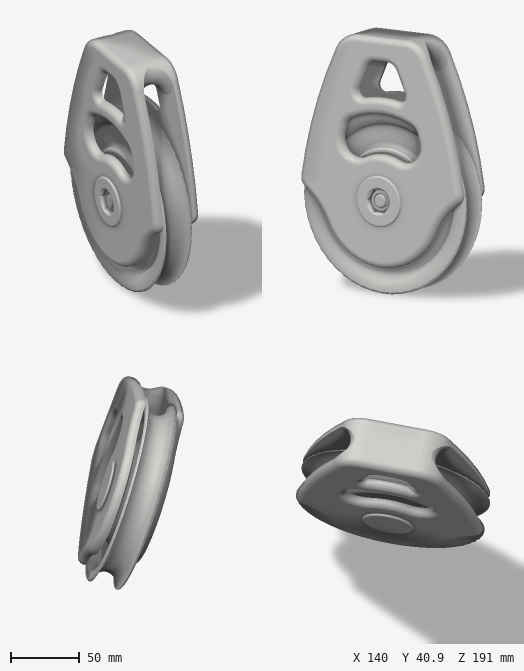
import cadquery as cq
import math


frame_thickness = 37.75
slot_width = 24.7
edge_radius = 5.0
frame_top = 121.0
top_half_width = 33.6
side_mid_point = (57.3, 64.0)
shoulder_point = (69.8, 6.6)
top_corner_radius = 20.0
shoulder_radius = 8.0
bottom_radius = 50.0
hollow_radius = 55.0
hollow_angle = math.radians(-23.6)

guide_bend_center = (22.0, 112.3)
guide_bend_radius = 9.8
guide_groove_radius = 12.6

eye_top = 102.8
eye_top_half_width = 10.9
eye_side_slope = 0.436
eye_bottom_radius = 76.0
eye_top_corner_radius = 9.0
eye_bottom_corner_radius = 5.0

kidney_outer_radius = 64.0
kidney_inner_radius = 34.0
kidney_corner_radius = 10.0
kidney_lobe_radius = 13.4
kidney_lobe_angle = math.radians(65.0)
kidney_side_angle = math.radians(16.6)

overall_width = 40.9
axle_diameter = 32.0
head_diameter = 38.0
head_edge_radius = 1.6
socket_flats = 16.9
socket_mouth_diameter = 20.7
socket_depth = 6.0
collar_diameter = 16.0
collar_edge_radius = 1.2
collar_depth = 3.0
nut_bore_diameter = 11.2
nut_bore_depth = 4.0
bolt_diameter = 10.0
bolt_chamfer = 1.0
bolt_depth = 2.0

sheave_radius = 70.0
sheave_width = 23.6
rope_groove_radius = 10.2
rim_edge_radius = 1.6
rim_face_inner_radius = 67.5
dish_inner_radius = 54.5
web_outer_radius = 53.0
dish_floor_width = 9.4
web_width = 8.6
hub_radius = 38.0
hub_fillet = 3.9
hub_chamfer = 1.2
hub_recess_radius = 35.3
hub_recess_depth = 1.5


def polar(radius, angle, center=(0.0, 0.0)):
    """Point at a radius and angle from a center."""
    return (center[0] + radius * math.cos(angle), center[1] + radius * math.sin(angle))


def mirrored(point):
    """The same point on the other side of the centre plane."""
    return (-point[0], point[1])


def cylinder(diameter, y_start, y_end):
    """Cylinder on the axle axis between two Y positions."""
    return (
        cq.Workplane("XZ", origin=(0, y_start, 0))
        .circle(diameter / 2)
        .extrude(y_start - y_end)
    )


def frame_block():
    """Full frame block with its outer corners rounded in outline, before the slot and windows."""
    top = (top_half_width, frame_top)
    hollow_center = polar(bottom_radius + hollow_radius, hollow_angle)
    hollow_end = polar(bottom_radius, hollow_angle)
    shoulder_direction = math.atan2(
        shoulder_point[1] - hollow_center[1], shoulder_point[0] - hollow_center[0]
    )
    hollow_start = polar(hollow_radius, shoulder_direction, hollow_center)
    hollow_mid_angle = (shoulder_direction + hollow_angle + math.pi) / 2
    hollow_mid = polar(hollow_radius, hollow_mid_angle, hollow_center)
    block = (
        cq.Workplane("XZ")
        .moveTo(*mirrored(top))
        .lineTo(*top)
        .threePointArc(side_mid_point, hollow_start)
        .threePointArc(hollow_mid, hollow_end)
        .threePointArc((0, -bottom_radius), mirrored(hollow_end))
        .threePointArc(mirrored(hollow_mid), mirrored(hollow_start))
        .threePointArc(mirrored(side_mid_point), mirrored(top))
        .close()
        .extrude(frame_thickness / 2, both=True)
    )
    block = block.edges("|Y").edges(">Z").fillet(top_corner_radius)
    block = block.edges("|Y").edges(">X or <X").fillet(shoulder_radius)
    return block


def eye_window():
    """Cutter for the eye, with flat top, sloping sides and a curved bottom."""
    slope = eye_side_slope
    side_at_axle = eye_top_half_width + slope * eye_top
    a = 1 + slope**2
    b = -2 * slope * side_at_axle
    c = side_at_axle**2 - eye_bottom_radius**2
    corner_z = (-b + math.sqrt(b**2 - 4 * a * c)) / (2 * a)
    corner = (side_at_axle - slope * corner_z, corner_z)
    top = (eye_top_half_width, eye_top)
    window = (
        cq.Workplane("XZ")
        .moveTo(*mirrored(top))
        .lineTo(*top)
        .lineTo(*corner)
        .threePointArc((0, eye_bottom_radius), mirrored(corner))
        .close()
        .extrude(frame_thickness, both=True)
    )
    window = window.edges("|Y").edges(">Z").fillet(eye_top_corner_radius)
    return window.edges("|Y").edges("<Z").fillet(eye_bottom_corner_radius)


def kidney_window():
    """Cutter for the kidney window, curved about the axle, with tangent corners and lobes."""
    side = kidney_side_angle
    lobe_center = polar(kidney_inner_radius + kidney_lobe_radius, kidney_lobe_angle)
    side_distance = (
        lobe_center[0] * math.cos(side) + lobe_center[1] * math.sin(side) + kidney_lobe_radius
    )
    corner_center_radius = kidney_outer_radius - kidney_corner_radius
    corner_angle = side + math.acos((side_distance - kidney_corner_radius) / corner_center_radius)
    corner_center = polar(corner_center_radius, corner_angle)
    outer_end = polar(kidney_outer_radius, corner_angle)
    corner_mid = polar(kidney_corner_radius, (corner_angle + side) / 2, corner_center)
    corner_end = polar(kidney_corner_radius, side, corner_center)
    lobe_start = polar(kidney_lobe_radius, side, lobe_center)
    lobe_mid_angle = (side + kidney_lobe_angle - math.pi) / 2
    lobe_mid = polar(kidney_lobe_radius, lobe_mid_angle, lobe_center)
    lobe_end = polar(kidney_inner_radius, kidney_lobe_angle)
    return (
        cq.Workplane("XZ")
        .moveTo(*mirrored(outer_end))
        .threePointArc((0, kidney_outer_radius), outer_end)
        .threePointArc(corner_mid, corner_end)
        .lineTo(*lobe_start)
        .threePointArc(lobe_mid, lobe_end)
        .threePointArc((0, kidney_inner_radius), mirrored(lobe_end))
        .threePointArc(mirrored(lobe_mid), mirrored(lobe_start))
        .lineTo(*mirrored(corner_end))
        .threePointArc(mirrored(corner_mid), mirrored(outer_end))
        .close()
        .extrude(frame_thickness, both=True)
    )


def rope_guide():
    """Web left standing in the slot: two grooved bends joined by a straight arched bar."""
    half = slot_width / 2
    center_x, center_z = guide_bend_center
    groove_rise = guide_groove_radius - math.sqrt(guide_groove_radius**2 - half**2)
    rim = guide_bend_radius + groove_rise
    guide_top = frame_top + rim
    guide = (
        cq.Workplane("YZ", origin=(-center_x, 0, 0))
        .moveTo(-half, guide_top)
        .lineTo(-half, center_z - rim)
        .threePointArc((0, center_z - guide_bend_radius), (half, center_z - rim))
        .lineTo(half, guide_top)
        .close()
        .extrude(2 * center_x)
    )
    for side in (-1, 1):
        bend = (
            cq.Workplane("XY", origin=(side * center_x, 0, center_z))
            .moveTo(0, -half)
            .lineTo(rim, -half)
            .threePointArc((guide_bend_radius, 0), (rim, half))
            .lineTo(0, half)
            .close()
            .revolve(360, (0, 0, 0), (0, 1, 0))
        )
        guide = guide.union(bend)
    return guide


def sheave_slot():
    """Cutter for the space between the cheeks, ending at the rope guide."""
    slab_size = 3 * frame_top
    return cq.Workplane("XY").box(slab_size, slot_width, slab_size).cut(rope_guide())


def axle():
    """Axle with a flat round head outside each cheek."""
    half = overall_width / 2
    shaft = cylinder(axle_diameter, -half, half)
    for side in (-1, 1):
        head = cylinder(head_diameter, side * half, side * slot_width / 2)
        head = head.edges(">Y" if side > 0 else "<Y").fillet(head_edge_radius)
        shaft = shaft.union(head)
    return shaft


def nut_socket():
    """Hexagonal socket in the front head, flared to a round mouth."""
    face = -overall_width / 2
    corner_diameter = socket_flats / math.cos(math.pi / 6)
    flare_depth = (socket_mouth_diameter - socket_flats) / 2
    socket = cq.Workplane("XZ", origin=(0, face, 0)).polygon(6, corner_diameter).extrude(-socket_depth)
    flare = cq.Workplane(
        cq.Solid.makeCone(
            socket_mouth_diameter / 2,
            socket_flats / 2,
            flare_depth,
            cq.Vector(0, face, 0),
            cq.Vector(0, 1, 0),
        )
    )
    return socket.union(flare)


def nut_and_bolt_end():
    """Rounded nut collar around the chamfered bolt end, standing in the socket."""
    face = -overall_width / 2
    floor = face + socket_depth
    collar_face = face + collar_depth
    collar = cylinder(collar_diameter, collar_face, floor).edges("<Y").fillet(collar_edge_radius)
    collar = collar.cut(cylinder(nut_bore_diameter, collar_face, collar_face + nut_bore_depth))
    bolt = cylinder(bolt_diameter, face + bolt_depth, floor).edges("<Y").chamfer(bolt_chamfer)
    return collar.union(bolt)


def make_frame():
    """Cheeks, web, axle and fastener as one solid."""
    body = frame_block().cut(eye_window()).cut(kidney_window())
    body = body.faces("<Y or >Y").edges().fillet(edge_radius)
    body = body.cut(sheave_slot())
    return body.union(axle()).cut(nut_socket()).union(nut_and_bolt_end())


def make_sheave():
    """Grooved sheave with dished sides and a raised hub, turned about the axle."""
    half = sheave_width / 2
    web = web_width / 2
    dish_floor = dish_floor_width / 2
    hub_face = web + hub_fillet + hub_chamfer
    hub_face_radius = hub_radius - hub_chamfer
    dish_drop = half - dish_floor
    dish_span = rim_face_inner_radius - dish_inner_radius
    dish_radius = (dish_drop**2 + dish_span**2) / (2 * dish_drop)
    dish_center = (rim_face_inner_radius, half - dish_radius)
    dish_mid = polar(dish_radius, math.pi / 2 + math.asin(dish_span / dish_radius) / 2, dish_center)
    tip_center = (sheave_radius - rim_edge_radius, half - rim_edge_radius)
    tip_mid = polar(rim_edge_radius, math.pi / 4, tip_center)
    fillet_center = (hub_radius + hub_fillet, web + hub_fillet)
    fillet_mid = polar(hub_fillet, math.radians(225), fillet_center)
    disc = (
        cq.Workplane("XY")
        .moveTo(sheave_radius, 0)
        .lineTo(sheave_radius, tip_center[1])
        .threePointArc(tip_mid, (tip_center[0], half))
        .lineTo(rim_face_inner_radius, half)
        .threePointArc(dish_mid, (dish_inner_radius, dish_floor))
        .lineTo(web_outer_radius, web)
        .lineTo(fillet_center[0], web)
        .threePointArc(fillet_mid, (hub_radius, fillet_center[1]))
        .lineTo(hub_face_radius, hub_face)
        .lineTo(hub_recess_radius, hub_face)
        .lineTo(hub_recess_radius, hub_face - hub_recess_depth)
        .lineTo(0, hub_face - hub_recess_depth)
        .mirrorX()
        .revolve(360, (0, 0, 0), (0, 1, 0))
    )
    rope_groove = cq.Workplane(
        cq.Solid.makeTorus(sheave_radius, rope_groove_radius, cq.Vector(0, 0, 0), cq.Vector(0, 1, 0))
    )
    return disc.cut(rope_groove).cut(cylinder(axle_diameter, -half, half))


frame = make_frame()
sheave = make_sheave()
result = cq.Compound.makeCompound([frame.val(), sheave.val()])